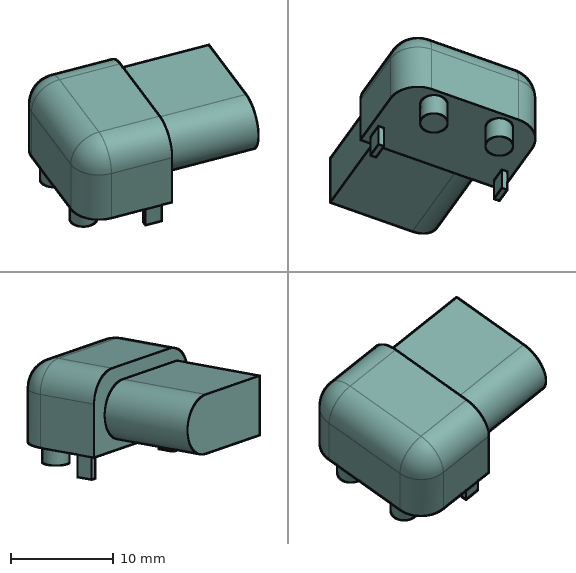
import cadquery as cq

total_length = 19.5
body_width = 15.5
body_depth = 9.5
total_height = 10.9
pin_length = 2.5
body_height = total_height - pin_length
body_radius = 3.0

plug_width = 12.0
plug_height = 6.0
plug_bottom = 0.92
plug_length = total_length - body_depth
plug_radius = plug_height / 2

pin_diameter = 2.7
pin_spacing = 7.15
pin_setback = 1.85

blade_thickness = 0.6
blade_depth = 1.74
blade_spacing = 13.5
blade_back_gap = 0.8


def make_housing():
    """Block with rounded front corners and a rounded top rim, open-edged at the back."""
    block = cq.Workplane("XY").box(body_width, body_depth, body_height, centered=(True, False, False))
    block = block.edges("|Z and <Y").fillet(body_radius)
    return block.faces(">Z").edges("not(>Y)").fillet(body_radius)


def make_plug():
    """D-shaped bar running straight back from the housing."""
    left = -plug_width / 2
    right = plug_width / 2
    top = plug_bottom + plug_height
    arc_start = right - plug_radius
    return (
        cq.Workplane("XZ", origin=(0, body_depth, 0))
        .moveTo(left, plug_bottom)
        .lineTo(arc_start, plug_bottom)
        .threePointArc((right, plug_bottom + plug_radius), (arc_start, top))
        .lineTo(left, top)
        .close()
        .extrude(-plug_length)
    )


def make_pins():
    """Two round pins below the front of the housing."""
    places = [(side * pin_spacing / 2, pin_setback) for side in (-1, 1)]
    return cq.Workplane("XY").pushPoints(places).circle(pin_diameter / 2).extrude(-pin_length)


def make_blades():
    """Two thin rectangular legs below the rear of the housing."""
    blade_y = body_depth - blade_back_gap - blade_depth / 2
    places = [(side * blade_spacing / 2, blade_y) for side in (-1, 1)]
    return cq.Workplane("XY").pushPoints(places).rect(blade_thickness, blade_depth).extrude(-pin_length)


result = make_housing().union(make_plug()).union(make_pins()).union(make_blades())